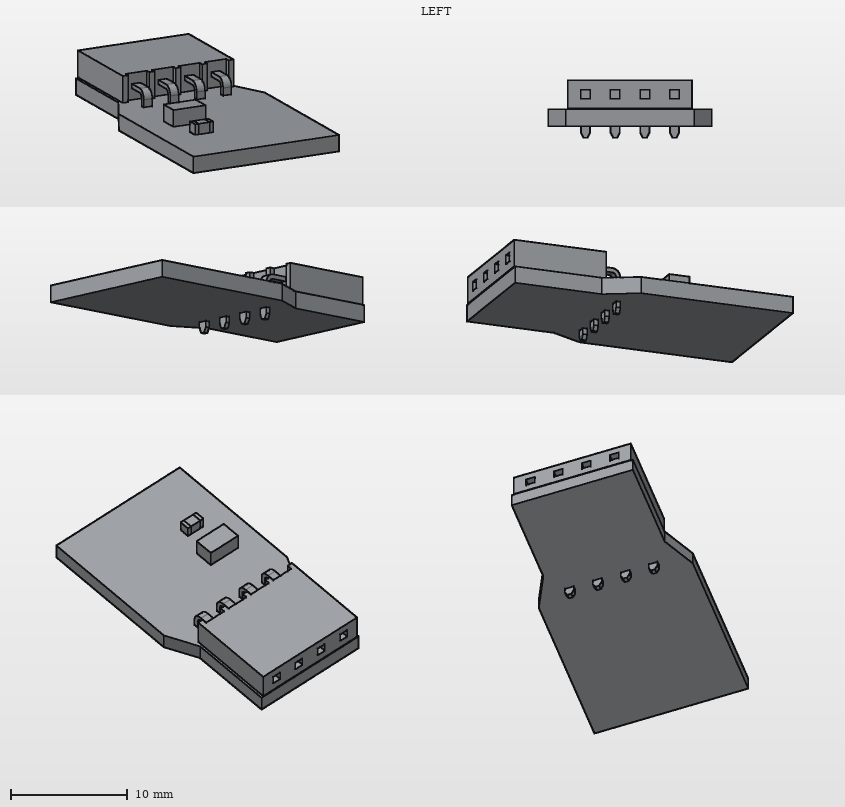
import cadquery as cq

board_length = 25.03
board_width = 14.0
board_thickness = 1.48
tongue_length = 8.0
tongue_width = 11.01
flare_end = 11.01

pin_count = 4
pin_span = 7.6
pin_pitch = pin_span / (pin_count - 1)
pin_width = 0.8
pin_thickness = 0.4
pin_bend_radius = 0.4
pin_back = 10.24
pin_top = 1.5
pin_bottom = -2.45
pin_tip_width = 0.35
pin_tip_length = 0.45

housing_standoff = 0.08
housing_top = 2.48
housing_length = 8.49
finger_width = 0.5
notch_depth = 0.48
notch_width = pin_pitch - finger_width
housing_width = pin_count * pin_pitch + finger_width
socket_size = 0.8
socket_depth = 6.0
socket_centre_z = 1.28

chip_start = 14.62
chip_length = 1.85
chip_width = 3.08
chip_height = 1.5
chip_centre_y = -3.0

capacitor_start = 18.47
capacitor_length = 0.95
capacitor_width = 1.75
capacitor_height = 0.95
capacitor_centre_y = -3.1
terminal_width = 0.35
core_width = capacitor_width - 2 * terminal_width

pin_rows = [i * pin_pitch - pin_span / 2 for i in range(pin_count)]
pin_front = pin_back - pin_thickness
notch_floor = housing_length - notch_depth


def block(start, length, centre_y, width, bottom, top):
    """Box from X = start, centred across Y, between two heights."""
    box = cq.Workplane("XY").box(length, width, top - bottom, centered=(False, True, False))
    return box.translate((start, centre_y, bottom))


def make_board():
    half_board = board_width / 2
    half_tongue = tongue_width / 2
    board = (
        cq.Workplane("XY")
        .polyline([
            (0, -half_tongue),
            (tongue_length, -half_tongue),
            (flare_end, -half_board),
            (board_length, -half_board),
            (board_length, half_board),
            (flare_end, half_board),
            (tongue_length, half_tongue),
            (0, half_tongue),
        ])
        .close()
        .extrude(-board_thickness)
    )
    for y in pin_rows:
        board = board.cut(block(pin_front, pin_thickness, y, pin_width, -board_thickness, 0))
    return board


def make_pin(y):
    """Flat pin that leaves the housing level, bends down and ends in a tapered tip."""
    outer_radius = pin_bend_radius + pin_thickness
    bend_x = pin_back - outer_radius
    bend_z = pin_top - outer_radius
    strip = (
        cq.Workplane("XZ", origin=(0, y, 0))
        .moveTo(notch_floor, pin_top)
        .lineTo(bend_x, pin_top)
        .radiusArc((pin_back, bend_z), outer_radius)
        .lineTo(pin_back, pin_bottom)
        .lineTo(pin_front, pin_bottom)
        .lineTo(pin_front, bend_z)
        .radiusArc((bend_x, pin_top - pin_thickness), -pin_bend_radius)
        .lineTo(notch_floor, pin_top - pin_thickness)
        .close()
        .extrude(pin_width / 2, both=True)
    )
    half_width = pin_width / 2
    half_tip = pin_tip_width / 2
    taper_start = pin_bottom + pin_tip_length
    tapered_outline = (
        cq.Workplane("YZ", origin=(notch_floor, y, 0))
        .polyline([
            (-half_tip, pin_bottom),
            (half_tip, pin_bottom),
            (half_width, taper_start),
            (half_width, pin_top),
            (-half_width, pin_top),
            (-half_width, taper_start),
        ])
        .close()
        .extrude(pin_back - notch_floor)
    )
    return strip.intersect(tapered_outline)


def make_connector():
    """Housing with sockets in front and a notch behind each pin; the pins are part of it."""
    connector = block(0, housing_length, 0, housing_width, housing_standoff, housing_top)
    socket_bottom = socket_centre_z - socket_size / 2
    socket_top = socket_centre_z + socket_size / 2
    for y in pin_rows:
        notch = block(notch_floor, notch_depth, y, notch_width, housing_standoff, housing_top)
        socket = block(0, socket_depth, y, socket_size, socket_bottom, socket_top)
        connector = connector.cut(notch).cut(socket).union(make_pin(y))
    return connector


def make_terminal(side):
    """End terminal on the +Y (side = 1) or -Y (side = -1) end of the capacitor."""
    centre_y = capacitor_centre_y + side * (core_width + terminal_width) / 2
    return block(capacitor_start, capacitor_length, centre_y, terminal_width, 0, capacitor_height)


board = make_board()
connector = make_connector()
chip = block(chip_start, chip_length, chip_centre_y, chip_width, 0, chip_height)
capacitor_core = block(
    capacitor_start, capacitor_length, capacitor_centre_y, core_width, 0, capacitor_height
)
terminals = [make_terminal(side) for side in (-1, 1)]

result = cq.Compound.makeCompound([
    board.val(),
    connector.val(),
    chip.val(),
    capacitor_core.val(),
    *[terminal.val() for terminal in terminals],
])